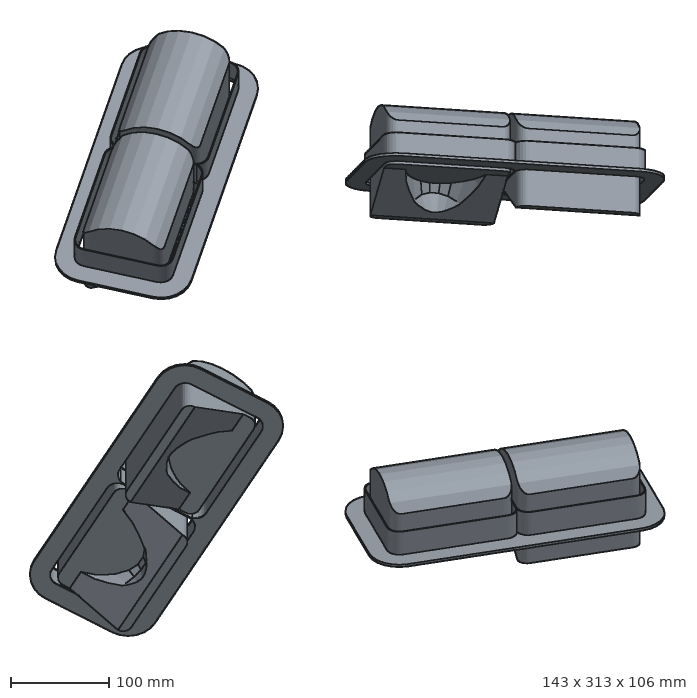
import cadquery as cq
import math

top_z = 70.0
sleeve_top_z = 30.0
flange_thickness = 3.0
step_z = -1.0
bottom_z = -36.0

flange_length = 313.0
flange_width = 143.0
flange_corner_radius = 32.0
sleeve_wall = 1.0
sleeve_length = 137.7
sleeve_width = 104.0
sleeve_corner_radius = 13.0
sleeve_offset_y = (sleeve_length - sleeve_wall) / 2
opening_length = sleeve_length - 2 * sleeve_wall
opening_width = sleeve_width - 2 * sleeve_wall
opening_corner_radius = sleeve_corner_radius - sleeve_wall

key_length = 130.0
key_width = 85.0
key_corner_radius = 10.0
key_offset_y = 68.2
half_width = key_width / 2
dome_half_angle = 60
dome_radius = half_width / math.sin(math.radians(dome_half_angle))
dome_center_z = top_z - dome_radius
slope_start_x = half_width - key_corner_radius
slope_run = 57.0

facet_angle = 15
facets_per_corner = 90 // facet_angle
dome_facets = 2 * dome_half_angle // facet_angle

scoop_facets = 20
scoop_pole_radius = 123.0
scoop_waist_radius = 76.7
scoop_side_radius = 51.3
scoop_tilt = 50
scoop_center_x = -80.5
scoop_center_z = 19.5


def rounded_block(length, width, radius, low_z, high_z):
    """Upright block centred on the Z axis, its vertical corners rounded by flat facets."""
    points = []
    corner_signs = [(1, 1), (-1, 1), (-1, -1), (1, -1)]
    for quarter, (sign_x, sign_y) in enumerate(corner_signs):
        center_x = sign_x * (width / 2 - radius)
        center_y = sign_y * (length / 2 - radius)
        for step in range(facets_per_corner + 1):
            angle = math.radians(90 * quarter + facet_angle * step)
            points.append((center_x + radius * math.cos(angle), center_y + radius * math.sin(angle)))
    return cq.Workplane("XY").workplane(offset=low_z).polyline(points).close().extrude(high_z - low_z)


def make_frame():
    """Flange with both sleeves standing on it and both openings cut right through."""
    frame = rounded_block(flange_length, flange_width, flange_corner_radius, 0, flange_thickness)
    sleeve = rounded_block(sleeve_length, sleeve_width, sleeve_corner_radius, 0, sleeve_top_z)
    opening = rounded_block(opening_length, opening_width, opening_corner_radius, 0, sleeve_top_z)
    for side in (-1, 1):
        frame = frame.union(sleeve.translate((0, side * sleeve_offset_y, 0)))
    for side in (-1, 1):
        frame = frame.cut(opening.translate((0, side * sleeve_offset_y, 0)))
    return frame


def key_profile():
    """Prism along Y with the faceted dome above and the slope below."""
    dome = []
    for step in range(dome_facets + 1):
        angle = math.radians(dome_half_angle - facet_angle * step)
        dome.append((dome_radius * math.sin(angle), dome_center_z + dome_radius * math.cos(angle)))
    underside = [
        (-half_width, step_z),
        (slope_start_x - slope_run, step_z),
        (slope_start_x, bottom_z),
        (half_width, bottom_z),
    ]
    return cq.Workplane("XZ").polyline(dome + underside).close().extrude(key_length / 2, both=True)


def faceted_ellipsoid():
    """Ellipsoid of flat facets, its poles on the Z axis and a facet in the middle of the +X side."""
    turn = 2 * math.pi / scoop_facets

    def ring_point(ring, meridian):
        polar = ring * turn
        azimuth = (meridian + 0.5) * turn
        return cq.Vector(
            scoop_waist_radius * math.sin(polar) * math.cos(azimuth),
            scoop_side_radius * math.sin(polar) * math.sin(azimuth),
            scoop_pole_radius * math.cos(polar),
        )

    last_ring = scoop_facets // 2 - 1
    top_pole = cq.Vector(0, 0, scoop_pole_radius)
    bottom_pole = cq.Vector(0, 0, -scoop_pole_radius)
    outlines = []
    for meridian in range(scoop_facets):
        following = (meridian + 1) % scoop_facets
        outlines.append([top_pole, ring_point(1, meridian), ring_point(1, following)])
        for ring in range(1, last_ring):
            outlines.append([
                ring_point(ring, meridian),
                ring_point(ring + 1, meridian),
                ring_point(ring + 1, following),
                ring_point(ring, following),
            ])
        outlines.append([bottom_pole, ring_point(last_ring, following), ring_point(last_ring, meridian)])
    faces = [cq.Face.makeFromWires(cq.Wire.makePolygon(outline, close=True)) for outline in outlines]
    return cq.Workplane(obj=cq.Solid.makeSolid(cq.Shell.makeShell(faces)))


def make_scoop():
    """Hollow of the wedge: the tilted ellipsoid, kept below the shallow underside of the key."""
    ellipsoid = faceted_ellipsoid().rotate((0, 0, 0), (0, 1, 0), -scoop_tilt)
    ellipsoid = ellipsoid.translate((scoop_center_x, 0, scoop_center_z))
    wedge_space = rounded_block(key_length, key_width, key_corner_radius, bottom_z, step_z)
    return wedge_space.intersect(ellipsoid)


def make_key(turn_angle):
    """One key at its place on the +Y side, turned about the Z axis of the frame."""
    block = rounded_block(key_length, key_width, key_corner_radius, bottom_z, top_z)
    key = block.intersect(key_profile()).cut(make_scoop())
    return key.translate((0, key_offset_y, 0)).rotate((0, 0, 0), (0, 0, 1), turn_angle)


frame = make_frame()
keys = [make_key(turn_angle) for turn_angle in (0, 180)]

result = cq.Compound.makeCompound([frame.solids().val(), *[key.solids().val() for key in keys]])